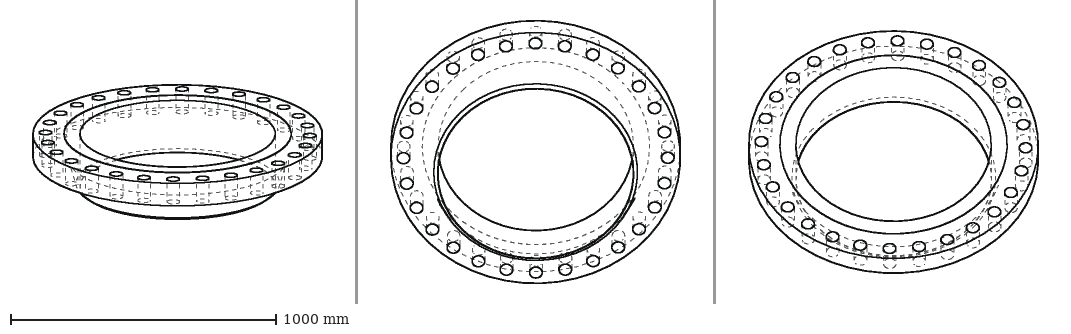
import cadquery as cq
import math

flange_diameter = 1092.2
overall_length = 209.55
flange_thickness = 91.95
raised_face_diameter = 857.25
raised_face_height = 1.6

bore_diameter = 736.6
hub_diameter = 827.5
weld_end_diameter = 768.5
hub_fillet_radius = 15.0
weld_bevel_angle = 37.5
weld_land = 1.6

bolt_count = 28
bolt_circle_diameter = 996.95
bolt_hole_diameter = 47.6

flange_bottom = overall_length - flange_thickness
flange_top = overall_length - raised_face_height

bore_radius = bore_diameter / 2
weld_end_radius = weld_end_diameter / 2
bevel_inner_radius = bore_radius + weld_land
bevel_height = (weld_end_radius - bevel_inner_radius) * math.tan(math.radians(weld_bevel_angle))

hub_radius = hub_diameter / 2
hub_taper = math.atan2(hub_radius - weld_end_radius, flange_bottom - bevel_height)
fillet_turn = math.pi / 2 - hub_taper
fillet_tangent_length = hub_fillet_radius * math.tan(fillet_turn / 2)
fillet_cone_point = (
    -(hub_radius - fillet_tangent_length * math.sin(hub_taper)),
    flange_bottom - fillet_tangent_length * math.cos(hub_taper),
)
fillet_flange_point = (-(hub_radius + fillet_tangent_length), flange_bottom)


def make_body():
    """Half section on the -X side of ring, raised face and neck, revolved about Z."""
    section = (
        cq.Workplane("XZ")
        .moveTo(-bore_radius, 0)
        .lineTo(-bevel_inner_radius, 0)
        .lineTo(-weld_end_radius, bevel_height)
        .lineTo(*fillet_cone_point)
        .radiusArc(fillet_flange_point, -hub_fillet_radius)
        .lineTo(-flange_diameter / 2, flange_bottom)
        .lineTo(-flange_diameter / 2, flange_top)
        .lineTo(-raised_face_diameter / 2, flange_top)
        .lineTo(-raised_face_diameter / 2, overall_length)
        .lineTo(-bore_radius, overall_length)
        .close()
    )
    return section.revolve(360, (0, 0, 0), (0, 1, 0))


def drill_bolt_holes(body):
    holes = (
        cq.Workplane("XY")
        .polarArray(bolt_circle_diameter / 2, 0, 360, bolt_count)
        .circle(bolt_hole_diameter / 2)
        .extrude(overall_length)
    )
    return body.cut(holes)


result = drill_bolt_holes(make_body())